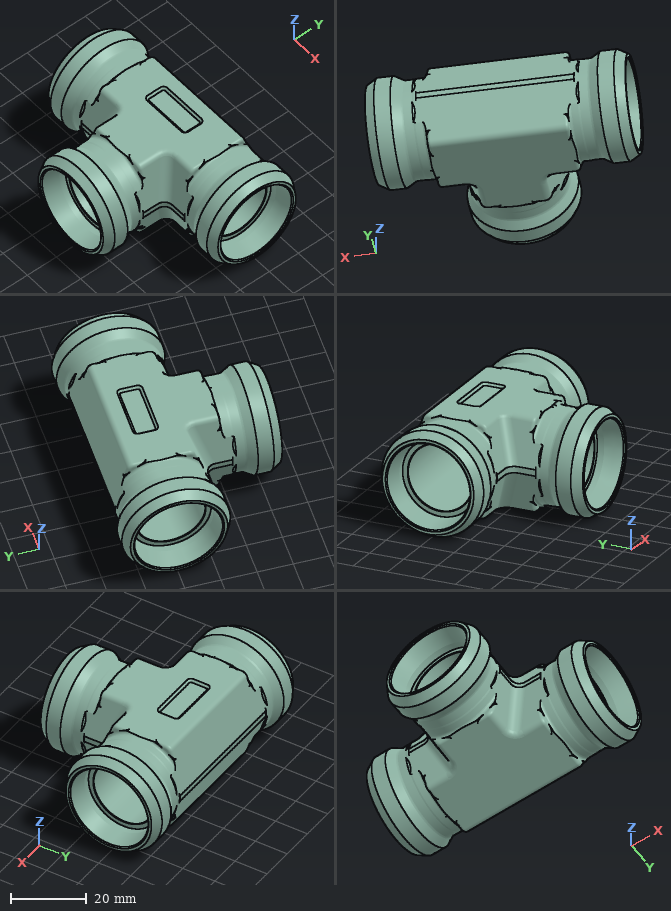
import cadquery as cq
import math

end_reach = 70.0 / 2

thread_radius = 30.0 / 2
neck_radius = 26.9 / 2
flank_angle = 30.0
thread_start = 2.7
thread_end = 7.15
neck_end = 12.7
neck_fillet = 1.2
neck_tip = 13.7
neck_tip_radius = 12.95

shoulder_start = 13.15
shoulder_radius = 13.5
shoulder_end = 15.9
shoulder_fillet = 0.85
shoulder_rounding = 1.0

bore_radius = 19.0 / 2
bore_lip = 0.15
socket_radius = 22.2 / 2
socket_depth = 7.5
mouth_radius = 12.2
mouth_chamfer = 0.35
cone_half_angle = 12.0

body_half_height = 13.7
body_half_width = 13.65
parting_half_height = 0.9
side_rib_half_height = 2.1
draft_angle = 20.0
corner_fillet = 2.95
edge_fillet = 1.95

recess_length = 16.65
recess_width = 6.9
recess_x = -0.4
recess_y = 1.05
recess_depth = 0.7
recess_corner = 1.25
recess_wall_angle = 45.0

end_angles = (0, 90, 180)


def revolve_about_x(points):
    return cq.Workplane("XY").polyline(points).close().revolve(360, (0, 0, 0), (1, 0, 0))


def place_on_ends(shape):
    """Combine one copy of an end feature for every branch."""
    copies = [shape.rotate((0, 0, 0), (0, 0, 1), angle) for angle in end_angles]
    return copies[0].union(copies[1]).union(copies[2])


def drafted_bar(plane, length):
    """Upper half of a forged bar: flat on top, with sides that lean inward above the parting band."""
    draft_run = (body_half_height - parting_half_height) * math.tan(math.radians(draft_angle))
    top_half_width = body_half_width - draft_run
    outline = [
        (body_half_width, parting_half_height),
        (top_half_width, body_half_height),
        (-top_half_width, body_half_height),
        (-body_half_width, parting_half_height),
    ]
    return cq.Workplane(plane).polyline(outline).close().extrude(length)


def forged_tee(half_length):
    """T-shaped forging: two drafted halves and the straight parting band between them."""
    run = drafted_bar("YZ", 2 * half_length).translate((-half_length, 0, 0))
    branch = drafted_bar("XZ", half_length)
    upper = run.union(branch)
    upper = upper.edges("not(#Z or |X or |Y)").edges(inner_corner_box()).fillet(corner_fillet)
    upper = upper.faces(">Z").edges("not(<X or >X or <Y)").fillet(edge_fillet)
    band = upper.faces("<Z").wires().toPending().workplane().extrude(2 * parting_half_height)
    lower = upper.mirror("XY")
    return upper.union(band).union(lower)


def inner_corner_box():
    """Region that holds the two inner corners between the run and the branch."""
    reach = body_half_width + corner_fillet
    return cq.selectors.BoxSelector((-reach, -reach, 0), (reach, 0, body_half_height))


def shoulder_core():
    """Round core left between neck and body, with a concave flare at the foot of the body end."""
    outer_end = -(end_reach - neck_end)
    wall = -(end_reach - shoulder_end)
    diagonal = shoulder_fillet * (1 - math.sqrt(0.5))
    round_core = (
        cq.Workplane("XY")
        .moveTo(outer_end, 0)
        .lineTo(outer_end, neck_radius)
        .lineTo(-(end_reach - shoulder_start), shoulder_radius)
        .lineTo(wall - shoulder_fillet, shoulder_radius)
        .threePointArc(
            (wall - diagonal, shoulder_radius + diagonal),
            (wall, shoulder_radius + shoulder_fillet),
        )
        .lineTo(wall + shoulder_rounding, shoulder_radius + shoulder_fillet)
        .lineTo(wall + shoulder_rounding, 0)
        .close()
        .revolve(360, (0, 0, 0), (1, 0, 0))
    )
    rib_length = end_reach - neck_tip
    rib = cq.Workplane("XY").box(
        rib_length, 2 * body_half_width, 2 * side_rib_half_height, centered=(False, True, True)
    )
    return round_core.union(rib.translate((-rib_length, 0, 0)))


def forged_body():
    """Forging with rounded ends, and narrower shoulders that carry it on to the necks."""
    main = forged_tee(end_reach - shoulder_end)
    for end_face in ("<X", ">X", "<Y"):
        main = main.faces(end_face).edges().fillet(shoulder_rounding)
    shoulders = forged_tee(end_reach - neck_end).intersect(place_on_ends(shoulder_core()))
    return main.union(shoulders)


def turned_end():
    """Threaded land between two conical flanks, with a neck that tapers into the body."""
    flank_run = (thread_radius - neck_radius) / math.tan(math.radians(flank_angle))
    flank_end = -end_reach + thread_end + flank_run
    turned = revolve_about_x([
        (-end_reach, 0),
        (-end_reach, neck_radius),
        (-end_reach + thread_start, thread_radius),
        (-end_reach + thread_end, thread_radius),
        (flank_end, neck_radius),
        (-end_reach + neck_end, neck_radius),
        (-end_reach + neck_tip, neck_tip_radius),
        (-end_reach + neck_tip, 0),
    ])
    flank_corner = cq.selectors.BoxSelector(
        (flank_end - neck_fillet, -thread_radius, -thread_radius),
        (flank_end + neck_fillet, thread_radius, thread_radius),
    )
    return turned.edges(flank_corner).fillet(neck_fillet)


def bored_socket():
    """Cone, tube socket and through bore, reaching the crossing of the axes."""
    cone_depth = (mouth_radius - socket_radius) / math.tan(math.radians(cone_half_angle))
    return revolve_about_x([
        (-end_reach, 0),
        (-end_reach, mouth_radius + mouth_chamfer),
        (-end_reach + mouth_chamfer, mouth_radius),
        (-end_reach + mouth_chamfer + cone_depth, socket_radius),
        (-end_reach + socket_depth, socket_radius),
        (-end_reach + socket_depth, bore_radius + bore_lip),
        (-end_reach + socket_depth + bore_lip, bore_radius),
        (0, bore_radius),
        (0, 0),
    ])


def top_recess():
    """Shallow rounded rectangle with sloping walls."""
    return (
        cq.Workplane("XY", origin=(recess_x, recess_y, body_half_height))
        .sketch()
        .rect(recess_length, recess_width)
        .vertices()
        .fillet(recess_corner)
        .finalize()
        .extrude(-recess_depth, taper=recess_wall_angle)
    )


body = forged_body()
body = body.union(place_on_ends(turned_end()))
body = body.cut(place_on_ends(bored_socket()))
result = body.cut(top_recess())